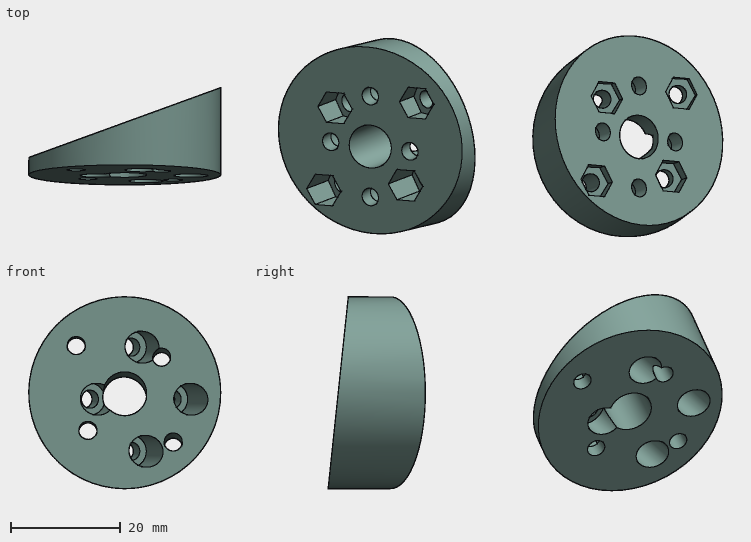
import cadquery as cq
import math

body_diameter = 35.0
center_thickness = 9.55
front_tilt = math.radians(6)
back_tilt = math.radians(20)

pattern_drop = 0.18
center_hole_diameter = 8.0
nut_hole_diameter = 3.3
long_pitch_radius = 12.5
short_pitch_radius = 9.5
nut_across_flats = 5.67

thin_side_seat = 3.0
upper_thick_side_seat = 8.0
lower_thick_side_seat = 9.5

screw_hole_diameter = 3.3
counterbore_diameter = 5.8
screw_seat_thickness = 3.5
screw_offset_across = 8.0
screw_offset_up = 9.5

cut_length = 2 * body_diameter

front_center = (0, -pattern_drop * math.tan(front_tilt), -pattern_drop)
back_drop = pattern_drop + (center_thickness - front_center[1]) * math.tan(front_tilt)
front_plane = cq.Plane(
    origin=front_center,
    xDir=(1, 0, 0),
    normal=(0, -math.cos(front_tilt), math.sin(front_tilt)),
)
back_plane = cq.Plane(
    origin=(0, center_thickness, -back_drop),
    xDir=(math.cos(back_tilt), math.sin(back_tilt), 0),
    normal=(-math.sin(back_tilt), math.cos(back_tilt), 0),
)


def make_body():
    """Cylinder along Y with the material outside both faces removed."""
    cylinder = cq.Workplane("XZ").circle(body_diameter / 2).extrude(body_diameter, both=True)
    for plane in (front_plane, back_plane):
        outside = cq.Workplane(plane).rect(cut_length, cut_length).extrude(cut_length)
        cylinder = cylinder.cut(outside)
    return cylinder


def holes(plane, points, diameter, start_depth=0.0):
    """Round cutters entering the plane, from start_depth to beyond the far face."""
    workplane = cq.Workplane(plane).workplane(offset=-start_depth)
    return workplane.pushPoints(points).circle(diameter / 2).extrude(-cut_length)


def nut_pocket(point, seat_thickness):
    """Hexagonal cutter from a nut seat out through the back face."""
    across_corners = nut_across_flats / math.cos(math.pi / 6)
    workplane = cq.Workplane(front_plane).workplane(offset=-seat_thickness)
    return workplane.center(*point).polygon(6, across_corners).extrude(-cut_length)


long_step = long_pitch_radius * math.sqrt(0.5)
short_step = short_pitch_radius * math.sqrt(0.5)
nut_seats = {
    (-long_step, long_step): thin_side_seat,
    (-short_step, -short_step): thin_side_seat,
    (short_step, short_step): upper_thick_side_seat,
    (long_step, -long_step): lower_thick_side_seat,
}

screw_points = []
for side in (-1, 1):
    screw_points.append((side * screw_offset_across, 0))
    screw_points.append((0, side * screw_offset_up))

result = (
    make_body()
    .cut(holes(front_plane, [(0, 0)], center_hole_diameter))
    .cut(holes(front_plane, list(nut_seats), nut_hole_diameter))
    .cut(holes(back_plane, screw_points, screw_hole_diameter))
    .cut(holes(back_plane, screw_points, counterbore_diameter, screw_seat_thickness))
)
for nut_point, nut_seat in nut_seats.items():
    result = result.cut(nut_pocket(nut_point, nut_seat))